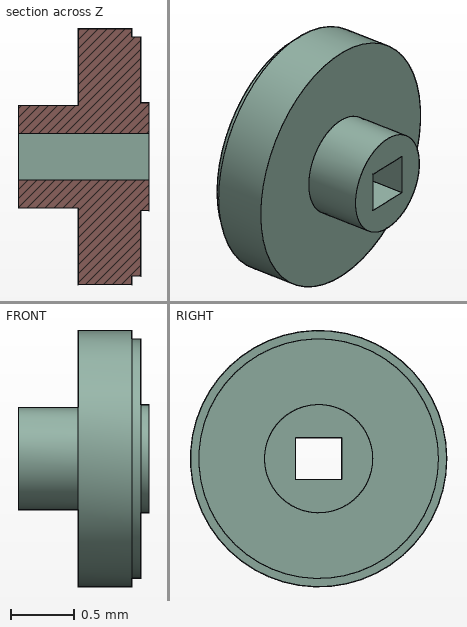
import cadquery as cq

disc_diameter = 2.02
disc_width = 0.425
hub_diameter = 0.808
hub_length = 0.47
shoulder_diameter = 1.887
shoulder_width = 0.07
pad_diameter = 0.852
pad_width = 0.065
hole_width = 0.364
hole_height = 0.327
total_length = hub_length + disc_width + shoulder_width + pad_width


def cylinder(start, length, diameter):
    """Cylinder along +X, beginning at the given X position."""
    return cq.Workplane("YZ", origin=(start, 0, 0)).circle(diameter / 2).extrude(length)


sections = [
    (hub_length, hub_diameter),
    (disc_width, disc_diameter),
    (shoulder_width, shoulder_diameter),
    (pad_width, pad_diameter),
]
body = cq.Workplane("YZ")
position = 0.0
for length, diameter in sections:
    body = body.union(cylinder(position, length, diameter))
    position += length

drive_hole = cq.Workplane("YZ").rect(hole_width, hole_height).extrude(total_length)
result = body.cut(drive_hole)